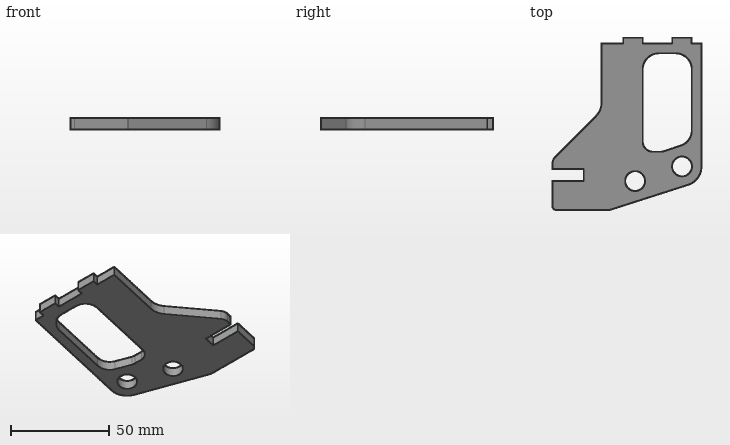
import cadquery as cq

width = 76.0
height = 87.8
thickness = 6.0

tab_height = 3.0
tab_width = 10.0
tab_lefts = (36.1, 60.9)
shoulder_y = height - tab_height

upper_left_x = 25.0
diagonal_low_y = 25.6
diagonal_high_y = diagonal_low_y + upper_left_x
bottom_flat_end = 29.2
right_corner_y = 15.0
small_radius = 2.0
bend_radius = 5.0
large_radius = 10.0

slot_depth = 16.0
slot_width = 6.0
slot_bottom = 14.9

window_left = 46.1
window_right = 70.9
window_top = 79.7
window_bottom = 29.8
window_slope_x = 56.1
window_slope_y = 34.8
window_large_radius = 8.0
window_small_radius = 5.0

hole_diameter = 10.0
right_hole = (width - large_radius, 22.2)
left_hole = (42.15, 14.75)


def rounded_prism(corners):
    """Extrude a polygon of (x, y, radius) corners and round its vertical edges."""
    prism = cq.Workplane("XY").polyline([(x, y) for x, y, _ in corners]).close().extrude(thickness)
    for x, y, radius in corners:
        if radius > 0:
            corner_edge = cq.selectors.NearestToPointSelector((x, y, thickness / 2))
            prism = prism.edges("|Z").edges(corner_edge).fillet(radius)
    return prism


def box(left, bottom, length, depth):
    """Full-thickness block placed by its lower left corner."""
    return cq.Workplane("XY").box(length, depth, thickness, centered=False).translate((left, bottom, 0))


plate = rounded_prism([
    (0, 0, small_radius),
    (bottom_flat_end, 0, small_radius),
    (width, right_corner_y, large_radius),
    (width, shoulder_y, 0),
    (upper_left_x, shoulder_y, 0),
    (upper_left_x, diagonal_high_y, large_radius),
    (0, diagonal_low_y, bend_radius),
])

for tab_left in tab_lefts:
    plate = plate.union(box(tab_left, shoulder_y, tab_width, tab_height))

plate = plate.cut(box(0, slot_bottom, slot_depth, slot_width))

window = rounded_prism([
    (window_left, window_bottom, window_small_radius),
    (window_slope_x, window_bottom, window_small_radius),
    (window_right, window_slope_y, window_large_radius),
    (window_right, window_top, window_large_radius),
    (window_left, window_top, window_large_radius),
])
plate = plate.cut(window)

holes = cq.Workplane("XY").pushPoints([right_hole, left_hole]).circle(hole_diameter / 2).extrude(thickness)
result = plate.cut(holes)